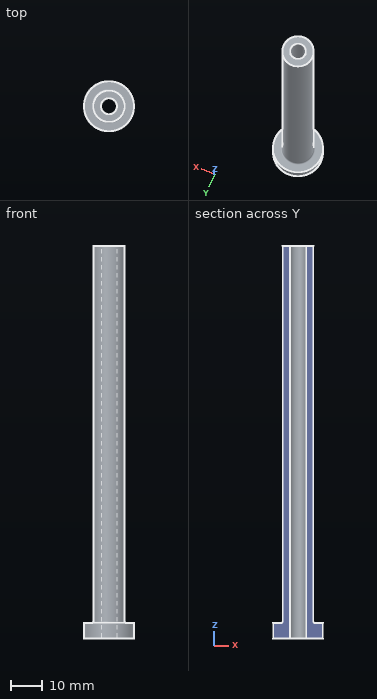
import cadquery as cq

total_length = 125.0
head_diameter = 16.0
head_height = 5.0
shaft_diameter = 10.0
bore_diameter = 5.0
neck_fillet = 0.5

head_radius = head_diameter / 2
shaft_radius = shaft_diameter / 2
bore_radius = bore_diameter / 2

half_section = (
    cq.Workplane("XZ")
    .moveTo(bore_radius, 0)
    .lineTo(head_radius, 0)
    .lineTo(head_radius, head_height)
    .lineTo(shaft_radius + neck_fillet, head_height)
    .radiusArc((shaft_radius, head_height + neck_fillet), neck_fillet)
    .lineTo(shaft_radius, total_length)
    .lineTo(bore_radius, total_length)
    .close()
)

result = half_section.revolve(360, (0, 0, 0), (0, 1, 0))